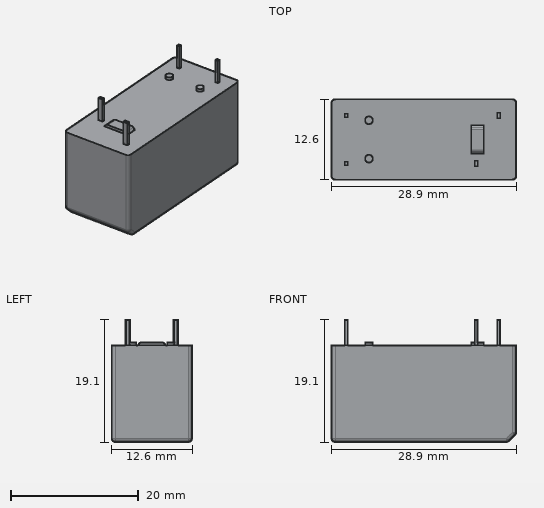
import cadquery as cq
import math

case_length = 28.9
case_width = 12.6
case_height = 15.11
corner_bevel = 1.3
edge_radius = 0.6

pin_height = 4.0
pin_thickness = 0.5
contact_pin_width = 0.8
pin_row_y = 3.75
coil_pin_x = -12.15
contact_pin_inner_x = 8.18
contact_pin_outer_x = 11.7

standoff_height = 0.5
standoff_diameter = 1.2
standoff_x = -8.58
standoff_y = 3.0

tab_x = 8.4
tab_width = 2.0
tab_length = 4.5
tab_blend_radius = 0.4
slope_angle = math.radians(45)


def make_case():
    half_length = case_length / 2
    outline = [
        (-half_length, 0),
        (half_length, 0),
        (half_length, corner_bevel - case_height),
        (half_length - corner_bevel, -case_height),
        (-half_length, -case_height),
    ]
    block = cq.Workplane("XZ").polyline(outline).close().extrude(case_width / 2, both=True)
    rim = cq.selectors.StringSyntaxSelector(">Z")
    return block.edges(cq.selectors.InverseSelector(rim)).fillet(edge_radius)


def make_pin(x, y, width):
    pin = cq.Workplane("XY").box(pin_thickness, width, pin_height, centered=(True, True, False))
    return pin.translate((x, y, 0))


def make_standoff(y):
    return cq.Workplane("XY").center(standoff_x, y).circle(standoff_diameter / 2).extrude(standoff_height)


def make_tab():
    half_base = tab_length / 2
    half_top = half_base - standoff_height / math.tan(slope_angle)
    tangent = tab_blend_radius * math.tan(slope_angle / 2)
    slope_drop = tangent * math.sin(slope_angle)
    blend_end_y = half_top - tangent
    slope_end_y = half_top + tangent * math.cos(slope_angle)
    slope_end_z = standoff_height - slope_drop
    blend_mid_y = blend_end_y + tab_blend_radius * math.sin(slope_angle / 2)
    blend_mid_z = standoff_height - tab_blend_radius * (1 - math.cos(slope_angle / 2))
    profile = (
        cq.Workplane("YZ", origin=(tab_x, 0, 0))
        .moveTo(-half_base, 0)
        .lineTo(-slope_end_y, slope_end_z)
        .threePointArc((-blend_mid_y, blend_mid_z), (-blend_end_y, standoff_height))
        .lineTo(blend_end_y, standoff_height)
        .threePointArc((blend_mid_y, blend_mid_z), (slope_end_y, slope_end_z))
        .lineTo(half_base, 0)
        .close()
    )
    return profile.extrude(tab_width / 2, both=True)


result = make_case()
for side in (-1, 1):
    result = result.union(make_pin(coil_pin_x, side * pin_row_y, pin_thickness))
    result = result.union(make_standoff(side * standoff_y))
result = result.union(make_pin(contact_pin_inner_x, -pin_row_y, contact_pin_width))
result = result.union(make_pin(contact_pin_outer_x, pin_row_y, contact_pin_width))
result = result.union(make_tab())